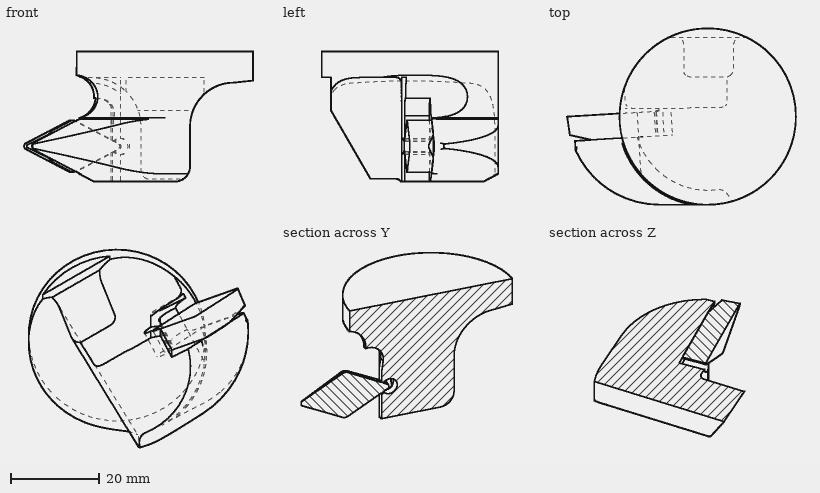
import cadquery as cq
import math

disc_dia = 40.0
disc_radius = disc_dia / 2
total_height = 29.5
nose_z = 8.05
flank_angle = 27.5
cone_angle = 28.0
head_half_height = 6.3
flat_length = 10.9
head_arc_radius = 20.85
collar_radius = 20.35
shoulder_z = 14.5
reach = 2 * disc_dia

overall_length = 51.85
insert_nose_x = disc_radius - overall_length
rake_angle = 3.5
insert_thickness = 5.6
clearance_angle = 5.0
nose_radius = 0.8
side_corner_radius = 1.55
insert_half_height = 6.1
bevel_nose_depth = 4.15
bevel_length = 5.1
land_depth = 0.85
land_start = 4.9
land_ramp_flank = 5.15
land_ramp_top = 6.2

support_setback = 1.45
support_nose_radius = 0.95
pocket_wall_x = -12.2
side_relief_radius = 3.55
relief_x = -15.3
relief_z = 15.4
relief_tangent_angle = 8.0
tail_relief_dia = 3.7
pocket_headroom = 1.55

groove_radius = 5.0
groove_x = -20.95
groove_z = 19.25
gullet_z = 12.55
front_gullet_x = 5.75
front_gullet_radius = 9.85
flange_rim_z = 22.9
front_corner_radius = 3.5
chip_gullet_x = -5.45
chip_gullet_radius = 11.05
chip_corner_radius = 2.0
chip_floor_y = 1.9
chip_floor_fillet = 1.25
lead_in_length = 2.1
back_bottom_z = 0.6
back_flat_y = 17.95
back_flat_top_z = 23.65
back_slope_start_z = 16.2
back_slope_angle = 60.0

rake_rad = math.radians(rake_angle)
flank_rad = math.radians(flank_angle)
flank_slope = math.tan(flank_rad)
cone_slope = math.tan(math.radians(cone_angle))
nose_setback = 1 / math.sin(flank_rad) - 1
sharp_nose = -nose_radius * nose_setback
insert_half_length = insert_half_height / flank_slope
insert_middle = sharp_nose + insert_half_length
insert_tail = insert_middle + insert_half_length


def rake_plane(depth=0.0):
    """Plane parallel to the rake face: x runs back from the nose, y is up, the normal enters the insert."""
    normal = cq.Vector(math.sin(rake_rad), -math.cos(rake_rad), 0)
    origin = cq.Vector(insert_nose_x, 0, nose_z) + normal * depth
    return cq.Plane(origin=origin, xDir=(math.cos(rake_rad), math.sin(rake_rad), 0), normal=normal)


def rhombus_prism(depth, inset, height, taper):
    """Rounded rhombus starting at `depth`, its sides moved in by `inset`, extruded into the insert."""
    half_height = insert_half_height - inset / math.cos(flank_rad)
    half_length = half_height / flank_slope
    outline = [
        (insert_middle - half_length, 0),
        (insert_middle, -half_height),
        (insert_middle + half_length, 0),
        (insert_middle, half_height),
    ]
    sketch = (
        cq.Sketch()
        .polygon(outline + outline[:1])
        .vertices("<X or >X")
        .fillet(nose_radius - inset)
        .reset()
        .vertices(">Y or <Y")
        .fillet(side_corner_radius - inset)
    )
    return cq.Workplane(rake_plane(depth)).placeSketch(sketch).extrude(height, taper=taper)


def depth_section(points):
    """Prism from a section given as (distance behind the nose, depth below the rake face)."""
    plane = cq.Plane(origin=rake_plane().origin, xDir=rake_plane().xDir, normal=(0, 0, 1))
    outline = [(distance, -depth) for distance, depth in points]
    return cq.Workplane(plane).polyline(outline).close().extrude(reach, both=True)


def land_front(land_inset, side):
    """Half-space ahead of the ramp where the land on one flank begins."""
    taper = math.tan(math.radians(clearance_angle))

    def flank_point(distance, depth, inset):
        half_height = (distance - sharp_nose) * flank_slope - inset / math.cos(flank_rad)
        return rake_plane().toWorldCoords((distance, side * half_height, depth))

    start = flank_point(land_start, land_depth, land_inset)
    flank_end = flank_point(land_ramp_flank, insert_thickness, insert_thickness * taper)
    land_end = flank_point(land_ramp_top, insert_thickness, land_inset)
    along = flank_end - start
    forward = along.cross(land_end - start) * side
    return cq.Workplane(cq.Plane(origin=start, xDir=along, normal=forward)).rect(reach, reach).extrude(reach)


def make_insert():
    """Rhombus with clearance flanks, upright lands and a bevelled nose."""
    blank = rhombus_prism(0, 0, insert_thickness, clearance_angle)
    land_inset = land_depth * math.tan(math.radians(clearance_angle))
    lands = rhombus_prism(land_depth, land_inset, insert_thickness - land_depth, 0)
    for side in (1, -1):
        lands = lands.cut(land_front(land_inset, side))
    bevel = depth_section([
        (0, bevel_nose_depth),
        (bevel_length, insert_thickness),
        (bevel_length, reach),
        (-reach, reach),
        (-reach, bevel_nose_depth),
    ])
    return blank.union(lands).cut(bevel)


def make_shank():
    cone_run = (nose_z - head_half_height) / cone_slope
    profile = [
        (0, 0),
        (disc_radius - cone_run, 0),
        (disc_radius, nose_z - head_half_height),
        (disc_radius, total_height),
        (0, total_height),
    ]
    return cq.Workplane("XZ").polyline(profile).close().revolve(360, (0, 0), (0, 1))


def make_head():
    cone_tip_radius = disc_radius + head_half_height / cone_slope
    cone_bottom_radius = cone_tip_radius - nose_z / cone_slope
    profile = [
        (0, 0),
        (cone_bottom_radius, 0),
        (cone_tip_radius, nose_z),
        (collar_radius, nose_z + (cone_tip_radius - collar_radius) * cone_slope),
        (collar_radius, shoulder_z),
        (0, shoulder_z),
    ]
    double_cone = cq.Workplane("XZ").polyline(profile).close().revolve(360, (0, 0), (0, 1))

    arc_centre_y = head_arc_radius - disc_radius
    diagonal = head_arc_radius * math.sqrt(0.5)
    outline = (
        cq.Workplane("XY")
        .moveTo(0, -disc_radius)
        .lineTo(-flat_length, -disc_radius)
        .threePointArc(
            (-flat_length - diagonal, arc_centre_y - diagonal),
            (-flat_length - head_arc_radius, arc_centre_y),
        )
        .lineTo(0, arc_centre_y)
        .close()
        .extrude(total_height)
    )

    support_tip = support_setback - support_nose_radius * nose_setback
    support = (
        cq.Workplane(rake_plane(-reach / 2))
        .polyline([
            (support_tip, 0),
            (support_tip + reach, -reach * flank_slope),
            (support_tip + reach, reach * flank_slope),
        ])
        .close()
        .extrude(reach)
        .edges("<X")
        .fillet(support_nose_radius)
    )
    return double_cone.intersect(outline).intersect(support)


def front_gullet():
    arc_x = front_gullet_x + front_gullet_radius
    arc_top_z = gullet_z + front_gullet_radius
    diagonal = front_gullet_radius * math.sqrt(0.5)
    corner_bend = front_corner_radius * (1 - math.sqrt(0.5))
    return (
        cq.Workplane("XZ")
        .moveTo(front_gullet_x - front_corner_radius, 0)
        .threePointArc(
            (front_gullet_x - corner_bend, corner_bend),
            (front_gullet_x, front_corner_radius),
        )
        .lineTo(front_gullet_x, gullet_z)
        .threePointArc((arc_x - diagonal, gullet_z + diagonal), (arc_x, arc_top_z))
        .lineTo(disc_radius, flange_rim_z)
        .lineTo(reach, flange_rim_z)
        .lineTo(reach, 0)
        .close()
        .extrude(reach, both=True)
    )


def chip_gullet():
    """Space above the insert, reaching under the shank as a shallow step, with a sloped lead-in."""
    arc_x = chip_gullet_x - chip_gullet_radius
    diagonal = chip_gullet_radius * math.sqrt(0.5)
    corner_bend = chip_corner_radius * (1 - math.sqrt(0.5))
    profile = (
        cq.Workplane("XZ")
        .moveTo(-reach, -reach)
        .lineTo(reach, -reach)
        .lineTo(reach, back_bottom_z)
        .lineTo(chip_gullet_x + chip_corner_radius, back_bottom_z)
        .threePointArc(
            (chip_gullet_x + corner_bend, back_bottom_z + corner_bend),
            (chip_gullet_x, back_bottom_z + chip_corner_radius),
        )
        .lineTo(chip_gullet_x, gullet_z)
        .threePointArc(
            (arc_x + diagonal, gullet_z + diagonal),
            (arc_x, gullet_z + chip_gullet_radius),
        )
        .lineTo(-reach, gullet_z + chip_gullet_radius)
        .close()
    )
    gullet = profile.extrude(-reach).faces("<Y").edges().fillet(chip_floor_fillet)
    gullet = gullet.translate((0, chip_floor_y, 0))
    lead_in_y = (pocket_wall_x - insert_nose_x) * math.tan(rake_rad)
    lead_in = (
        cq.Workplane("XY")
        .polyline([
            (insert_nose_x, 0),
            (pocket_wall_x, lead_in_y),
            (pocket_wall_x + lead_in_length, chip_floor_y),
            (insert_nose_x, chip_floor_y),
        ])
        .close()
        .extrude(gullet_z + chip_gullet_radius)
    )
    return gullet.union(lead_in)


def chip_groove():
    """Round groove square to the rake face."""
    plane = cq.Plane(origin=(groove_x, 0, groove_z), xDir=rake_plane().xDir, normal=rake_plane().zDir)
    return cq.Workplane(plane).circle(groove_radius).extrude(reach, both=True)


def back_flat():
    slope = math.tan(math.radians(back_slope_angle))
    section = [
        (back_flat_y, back_flat_top_z),
        (back_flat_y, back_slope_start_z),
        (back_flat_y - back_slope_start_z / slope, 0),
        (reach, 0),
        (reach, back_flat_top_z),
    ]
    return cq.Workplane("YZ").polyline(section).close().extrude(reach, both=True)


def insert_pocket():
    tangent = math.radians(relief_tangent_angle)
    tangent_x = relief_x + side_relief_radius * math.cos(tangent)
    tangent_z = relief_z - side_relief_radius * math.sin(tangent)
    bend_z = tangent_z - (tangent_x - pocket_wall_x) / math.tan(tangent)

    def local(x, z):
        """Position on the rake face of a point given by X and Z."""
        return ((x - insert_nose_x) / math.cos(rake_rad), z - nose_z)

    wall = [
        local(-reach, 0),
        local(pocket_wall_x, 0),
        local(pocket_wall_x, bend_z),
        local(tangent_x, tangent_z),
        local(relief_x, relief_z),
        local(relief_x, relief_z + side_relief_radius),
        local(-reach, relief_z + side_relief_radius),
    ]
    top = rake_plane(-pocket_headroom)
    depth = pocket_headroom + insert_thickness
    rake = cq.Workplane(rake_plane())
    opening = rake.polyline(wall).close().extrude(insert_thickness)
    side_relief = rake.center(*local(relief_x, relief_z)).circle(side_relief_radius).extrude(insert_thickness)
    tail_centre = insert_tail + sharp_nose
    tail_relief = cq.Workplane(top).center(tail_centre, 0).circle(tail_relief_dia / 2).extrude(depth)
    tail_entry = rhombus_prism(-pocket_headroom, 0, pocket_headroom, 0)
    return opening.union(side_relief).union(tail_relief).union(tail_entry)


insert = make_insert()
housing = make_shank().union(make_head())
for cutter in (front_gullet(), chip_gullet(), chip_groove(), back_flat(), insert_pocket(), insert):
    housing = housing.cut(cutter)

result = cq.Compound.makeCompound([housing.solids().val(), insert.solids().val()])